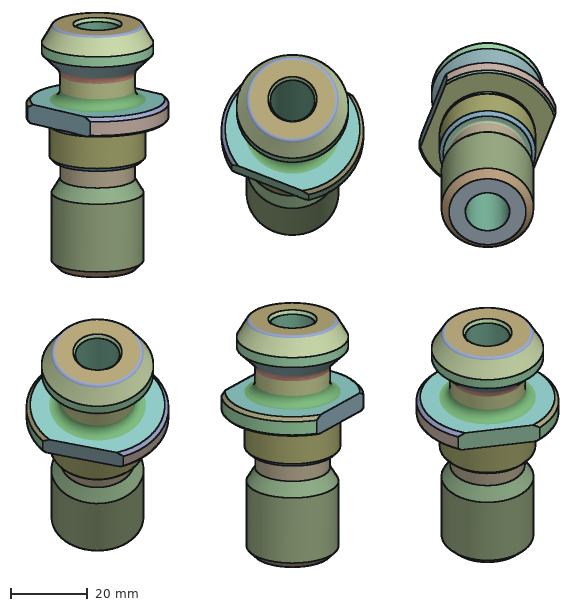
import cadquery as cq
import math


top_z = 25.55
knob_dia = 29.1
knob_rim_top_z = 20.6
knob_rim_bottom_z = 17.85
knob_taper_angle = 30
knob_edge_radius = 1.0

neck_dia = 19.6
neck_top_radius = 2.5
neck_bottom_radius = 2.75

flange_dia = 37.0
flange_thickness = 5.2
flange_top_chamfer = 1.0
flange_bottom_chamfer = 0.5
across_flats = 30.0

relief_dia = 24.5
relief_depth = 0.9
pilot_dia = 25.0
pilot_top_z = -1.5
pilot_bottom_z = -11.0
pilot_chamfer = 1.0

undercut_dia = 19.5
undercut_bottom_z = -16.0
undercut_corner_radius = 0.5
shank_dia = 24.0
shank_top_z = -19.75
bottom_z = -40.0
shank_chamfer = 2.0

bore_dia = 11.5
bore_mouth_angle = 30
bore_mouth_depth = 1.0


def revolve_section(section):
    """Turn a closed outline of (radius, z) points about Z."""
    return cq.Workplane("XZ").polyline(section).close().revolve(360, (0, 0, 0), (0, 1, 0))


def turned_body():
    """Revolve the outer half section, then round its corners."""
    knob_r = knob_dia / 2
    neck_r = neck_dia / 2
    flange_r = flange_dia / 2
    pilot_r = pilot_dia / 2
    shank_r = shank_dia / 2
    knob_top_r = knob_r - (top_z - knob_rim_top_z) * math.tan(math.radians(knob_taper_angle))
    neck_top_z = knob_rim_bottom_z - (knob_r - neck_r)

    half_section = [
        (0, bottom_z),
        (shank_r - shank_chamfer, bottom_z),
        (shank_r, bottom_z + shank_chamfer),
        (shank_r, shank_top_z),
        (undercut_dia / 2, undercut_bottom_z),
        (undercut_dia / 2, pilot_bottom_z),
        (pilot_r - pilot_chamfer, pilot_bottom_z),
        (pilot_r, pilot_bottom_z + pilot_chamfer),
        (pilot_r, pilot_top_z),
        (relief_dia / 2, -relief_depth),
        (relief_dia / 2, 0),
        (flange_r - flange_bottom_chamfer, 0),
        (flange_r, flange_bottom_chamfer),
        (flange_r, flange_thickness - flange_top_chamfer),
        (flange_r - flange_top_chamfer, flange_thickness),
        (neck_r, flange_thickness),
        (neck_r, neck_top_z),
        (knob_r, knob_rim_bottom_z),
        (knob_r, knob_rim_top_z),
        (knob_top_r, top_z),
        (0, top_z),
    ]
    body = revolve_section(half_section)

    body = fillet_ring(body, undercut_dia / 2, pilot_bottom_z, undercut_corner_radius)
    body = fillet_ring(body, neck_r, flange_thickness, neck_bottom_radius)
    body = fillet_ring(body, neck_r, neck_top_z, neck_top_radius)
    return fillet_ring(body, knob_top_r, top_z, knob_edge_radius)


def fillet_ring(body, ring_radius, z, fillet_radius):
    """Round the circular edge of the given radius and height."""
    tolerance = 0.01
    reach = ring_radius + tolerance
    ring = cq.selectors.BoxSelector(
        (-reach, -reach, z - tolerance),
        (reach, reach, z + tolerance),
        boundingbox=True,
    )
    return body.edges(ring).edges("%CIRCLE").fillet(fillet_radius)


def cut_flats(body):
    """Trim the flange to its wrench size across Y."""
    envelope = cq.Workplane("XY").workplane(offset=bottom_z).rect(flange_dia, across_flats)
    return body.intersect(envelope.extrude(top_z - bottom_z))


def cut_bore(body):
    """Through bore with a countersunk mouth at the knob end."""
    bore_r = bore_dia / 2
    mouth_r = bore_r + bore_mouth_depth * math.tan(math.radians(bore_mouth_angle))
    bore_section = [
        (0, bottom_z),
        (bore_r, bottom_z),
        (bore_r, top_z - bore_mouth_depth),
        (mouth_r, top_z),
        (0, top_z),
    ]
    return body.cut(revolve_section(bore_section))


result = cut_bore(cut_flats(turned_body()))